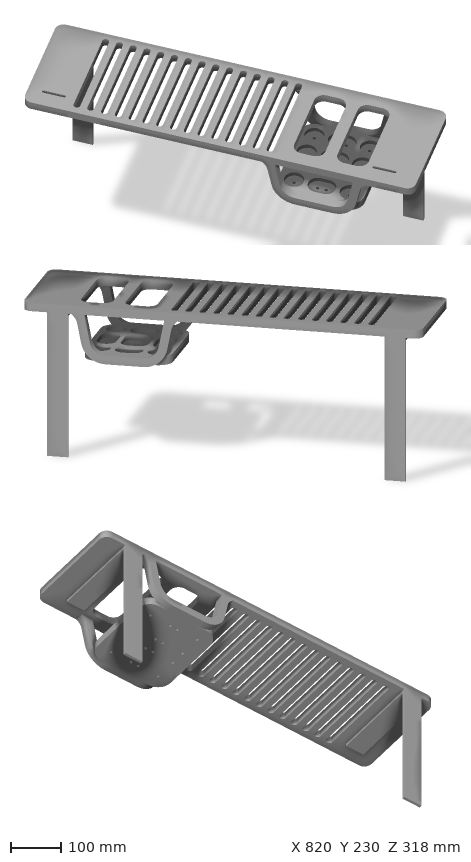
import cadquery as cq
import math

DECK_LENGTH = 820.0
DECK_WIDTH = 230.0
DECK_THICKNESS = 18.0
DECK_CORNER_RADIUS = 18.0

VENT_COUNT = 15
VENT_SPAN = 405.0
VENT_PITCH = VENT_SPAN / (VENT_COUNT - 1)
VENT_WIDTH = 14.0
VENT_LENGTH = 201.0
FIRST_VENT_X = -302.5

OPENING_WIDTH = 66.0
OPENING_LENGTH = 170.0
OPENING_CORNER_RADIUS = 20.0
OPENING_CENTRES_X = (177.0, 268.0)

LEG_CENTRES_X = (-356.0, 338.0)
LEG_WIDTH = 43.0
LEG_THICKNESS = 6.0
LEG_HEIGHT = 300.0
LEG_FLANGE_LENGTH = 195.0

LEG_SLOT_LENGTH = 50.0
LEG_SLOT_WIDTH = 6.0
LEG_SLOT_EDGE_DISTANCE = 37.0

HANGER_CENTRE_X = 201.0
HANGER_DEPTH = 100.0
HANGER_THICKNESS = 18.0
HANGER_BEND_HALF_SPAN = 39.0
HANGER_BEND_RADIUS = 50.0
HANGER_LEAN = math.radians(11.5)
HANGER_FLARE_RADIUS = 30.0
HANGER_FLARE_HEIGHT = 19.0

TRAY_CENTRE_X = 202.5
TRAY_LENGTH = 180.0
TRAY_WIDTH = DECK_WIDTH - 2 * HANGER_THICKNESS
TRAY_THICKNESS = HANGER_THICKNESS
TRAY_CORNER_RADIUS = 30.0

RECESS_DIAMETER = 40.0
RECESS_DEPTH = TRAY_THICKNESS / 2
DRAIN_DIAMETER = 6.65
RECESS_COLUMN_OFFSET = 58.0
RECESS_ROW_OFFSET = 66.0
COLUMN_STRETCH = 18.0
ROW_STRETCH = 33.0


def rounded_plate(length, width, thickness, radius):
    """Plate on Z = 0, centred on X and Y, with rounded vertical edges."""
    plate = cq.Workplane("XY").box(length, width, thickness, centered=(True, True, False))
    return plate.edges("|Z").fillet(radius)


def make_deck():
    deck = rounded_plate(DECK_LENGTH, DECK_WIDTH, DECK_THICKNESS, DECK_CORNER_RADIUS)
    top_plane = cq.Workplane("XY").workplane(offset=DECK_THICKNESS)

    vent_centres = [(FIRST_VENT_X + i * VENT_PITCH, 0) for i in range(VENT_COUNT)]
    vents = top_plane.pushPoints(vent_centres).slot2D(VENT_LENGTH, VENT_WIDTH, 90)
    deck = deck.cut(vents.extrude(-DECK_THICKNESS))

    leg_slot_y = LEG_SLOT_EDGE_DISTANCE - DECK_WIDTH / 2
    leg_slot_centres = [(x, leg_slot_y) for x in LEG_CENTRES_X]
    leg_slots = top_plane.pushPoints(leg_slot_centres).slot2D(LEG_SLOT_LENGTH, LEG_SLOT_WIDTH)
    deck = deck.cut(leg_slots.extrude(-DECK_THICKNESS))

    opening = rounded_plate(OPENING_WIDTH, OPENING_LENGTH, DECK_THICKNESS, OPENING_CORNER_RADIUS)
    for x in OPENING_CENTRES_X:
        deck = deck.cut(opening.translate((x, 0, 0)))
    return deck


def make_leg(centre_x):
    back_y = DECK_WIDTH / 2
    flange_end_y = back_y - LEG_FLANGE_LENGTH
    profile = [
        (back_y, 0),
        (flange_end_y, 0),
        (flange_end_y, -LEG_THICKNESS),
        (back_y - LEG_THICKNESS, -LEG_THICKNESS),
        (back_y - LEG_THICKNESS, -LEG_HEIGHT),
        (back_y, -LEG_HEIGHT),
    ]
    strip = cq.Workplane("YZ").polyline(profile).close().extrude(LEG_WIDTH / 2, both=True)
    return strip.translate((centre_x, 0, 0))


def make_hanger(front_y):
    """U-shaped bar in the XZ plane, filling one bar thickness behind front_y."""
    cos_lean = math.cos(HANGER_LEAN)
    sin_lean = math.sin(HANGER_LEAN)
    tan_lean = math.tan(HANGER_LEAN)
    bend_z = HANGER_BEND_RADIUS - HANGER_DEPTH
    inner_radius = HANGER_BEND_RADIUS - HANGER_THICKNESS

    def on_bend(radius, angle):
        """Point on the right-hand bend; the angle is measured up from straight down."""
        return (HANGER_BEND_HALF_SPAN + radius * math.sin(angle), bend_z - radius * math.cos(angle))

    bend_angle = math.pi / 2 - HANGER_LEAN
    outer_foot = on_bend(HANGER_BEND_RADIUS, 0)
    outer_mid = on_bend(HANGER_BEND_RADIUS, bend_angle / 2)
    outer_side = on_bend(HANGER_BEND_RADIUS, bend_angle)
    inner_foot = on_bend(inner_radius, 0)
    inner_mid = on_bend(inner_radius, bend_angle / 2)
    inner_side = on_bend(inner_radius, bend_angle)
    inner_top = (inner_side[0] - inner_side[1] * tan_lean, 0)

    flare_start_z = -HANGER_FLARE_HEIGHT
    flare_start_x = outer_side[0] + (flare_start_z - outer_side[1]) * tan_lean
    flare_centre_x = flare_start_x + HANGER_FLARE_RADIUS * cos_lean
    flare_centre_z = flare_start_z - HANGER_FLARE_RADIUS * sin_lean

    def on_flare(angle):
        """Point on the flare; the angle is measured up from its centre's left-hand side."""
        return (
            flare_centre_x - HANGER_FLARE_RADIUS * math.cos(angle),
            flare_centre_z + HANGER_FLARE_RADIUS * math.sin(angle),
        )

    flare_end_angle = math.asin(-flare_centre_z / HANGER_FLARE_RADIUS)
    flare_mid = on_flare((HANGER_LEAN + flare_end_angle) / 2)
    flare_end = on_flare(flare_end_angle)

    right_half = (
        cq.Workplane("XZ", origin=(0, front_y, 0))
        .moveTo(0, -HANGER_DEPTH)
        .lineTo(*outer_foot)
        .threePointArc(outer_mid, outer_side)
        .lineTo(flare_start_x, flare_start_z)
        .threePointArc(flare_mid, flare_end)
        .lineTo(*inner_top)
        .lineTo(*inner_side)
        .threePointArc(inner_mid, inner_foot)
        .lineTo(0, inner_foot[1])
        .close()
        .extrude(-HANGER_THICKNESS)
    )
    hanger = right_half.union(right_half.mirror("YZ")).clean()
    return hanger.translate((HANGER_CENTRE_X, 0, 0))


def make_recess(stretch_x, stretch_y):
    """Cutter for one round recess, stretched in X and Y, with a drain below each end centre."""
    if stretch_x and stretch_y:
        recess = rounded_plate(
            stretch_x + RECESS_DIAMETER, stretch_y + RECESS_DIAMETER, RECESS_DEPTH, RECESS_DIAMETER / 2
        )
    elif stretch_x or stretch_y:
        angle = 90 if stretch_y else 0
        length = stretch_x + stretch_y + RECESS_DIAMETER
        recess = cq.Workplane("XY").slot2D(length, RECESS_DIAMETER, angle).extrude(RECESS_DEPTH)
    else:
        recess = cq.Workplane("XY").circle(RECESS_DIAMETER / 2).extrude(RECESS_DEPTH)

    drain_centres = {(i * stretch_x / 2, j * stretch_y / 2) for i in (-1, 1) for j in (-1, 1)}
    drains = cq.Workplane("XY").pushPoints(list(drain_centres)).circle(DRAIN_DIAMETER / 2)
    return recess.union(drains.extrude(RECESS_DEPTH - TRAY_THICKNESS))


def make_tray():
    tray = rounded_plate(TRAY_LENGTH, TRAY_WIDTH, TRAY_THICKNESS, TRAY_CORNER_RADIUS)
    floor_z = TRAY_THICKNESS - RECESS_DEPTH

    for column in (-1, 0, 1):
        for row in (-1, 0, 1):
            stretch_x = COLUMN_STRETCH if column == 0 else 0
            stretch_y = ROW_STRETCH if row == 0 else 0
            centre = (column * RECESS_COLUMN_OFFSET, row * RECESS_ROW_OFFSET, floor_z)
            tray = tray.cut(make_recess(stretch_x, stretch_y).translate(centre))
    return tray.translate((TRAY_CENTRE_X, 0, -HANGER_DEPTH))


deck = make_deck()
legs = [make_leg(x) for x in LEG_CENTRES_X]
hangers = [make_hanger(y) for y in (-DECK_WIDTH / 2, DECK_WIDTH / 2 - HANGER_THICKNESS)]
tray = make_tray()

result = cq.Compound.makeCompound(
    [deck.val(), *[leg.val() for leg in legs], *[hanger.val() for hanger in hangers], tray.val()]
)